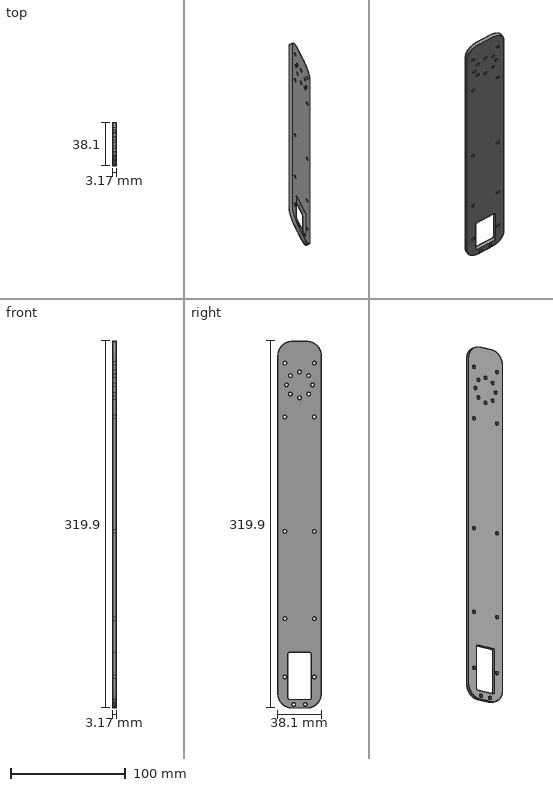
import cadquery as cq
import math

THICKNESS = 3.17
WIDTH = 38.1
LENGTH = 319.94
CORNER_RADIUS = 12.7

TOP = LENGTH / 2
BOTTOM = -LENGTH / 2

HOLE_DIAMETER = 3.05

MOUNT_HALF_SPACING = 12.85
FIRST_ROW_FROM_TOP = 19.2
ROW_PITCHES = (46.75, 99.8, 76.2, 50.8)

RING_RADIUS = 11.3
RING_COUNT = 8
RING_FROM_TOP = 38.1
RING_CENTRE_Z = TOP - RING_FROM_TOP

WINDOW_WIDTH = 20.2
WINDOW_HEIGHT = 41.0
WINDOW_CORNER_RADIUS = 1.5
WINDOW_FROM_BOTTOM = 7.6
WINDOW_CENTRE_Z = BOTTOM + WINDOW_FROM_BOTTOM + WINDOW_HEIGHT / 2

END_HOLE_HALF_SPACING = 5.08
END_HOLE_FROM_BOTTOM = 3.175


def rounded_slab(width, height, corner_radius, centre_z):
    """Slab through the plate thickness, with its four corners rounded."""
    slab = cq.Workplane("XY").box(THICKNESS, width, height)
    return slab.edges("|X").fillet(corner_radius).translate((0, 0, centre_z))


def mirrored_pair(half_spacing, z):
    """Two (y, z) points placed symmetrically about the centreline."""
    return [(-half_spacing, z), (half_spacing, z)]


def mounting_points():
    """Rows of paired points, stepping down from the top edge."""
    z = TOP - FIRST_ROW_FROM_TOP
    points = mirrored_pair(MOUNT_HALF_SPACING, z)
    for pitch in ROW_PITCHES:
        z -= pitch
        points += mirrored_pair(MOUNT_HALF_SPACING, z)
    return points


def ring_points():
    """Equally spaced points around the ring centre."""
    points = []
    for index in range(RING_COUNT):
        angle = 2 * math.pi * index / RING_COUNT
        y = RING_RADIUS * math.cos(angle)
        z = RING_CENTRE_Z + RING_RADIUS * math.sin(angle)
        points.append((y, z))
    return points


def hole_cutters(points):
    """Cylinders along X through the full thickness at the given (y, z) points."""
    plane = cq.Workplane("YZ").pushPoints(points)
    return plane.circle(HOLE_DIAMETER / 2).extrude(THICKNESS, both=True)


plate = rounded_slab(WIDTH, LENGTH, CORNER_RADIUS, 0)
window = rounded_slab(WINDOW_WIDTH, WINDOW_HEIGHT, WINDOW_CORNER_RADIUS, WINDOW_CENTRE_Z)
end_points = mirrored_pair(END_HOLE_HALF_SPACING, BOTTOM + END_HOLE_FROM_BOTTOM)
hole_points = mounting_points() + ring_points() + end_points

result = plate.cut(window).cut(hole_cutters(hole_points))